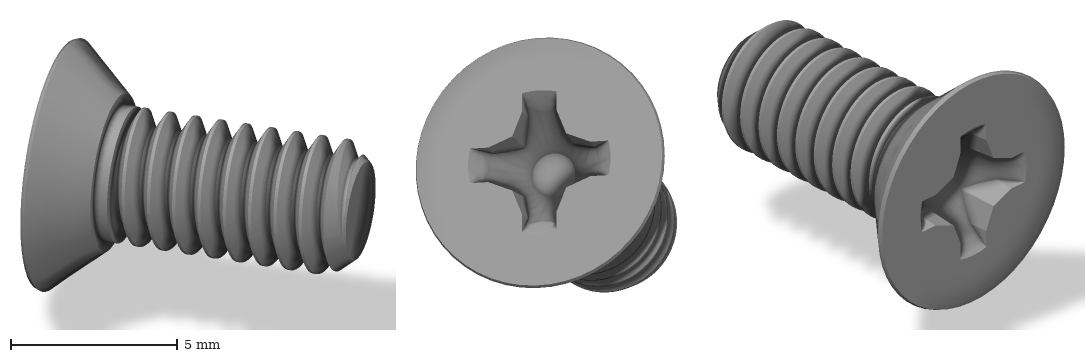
import cadquery as cq
import math


screw_length = 9.525
head_radius = 3.861
face_radius = 3.81
head_rim_length = 0.13
head_length = 1.776
cone_half_angle = math.radians(41.0)
head_small_radius = head_radius - (head_length - head_rim_length) * math.tan(cone_half_angle)

major_radius = 2.083
pitch = 0.796
thread_half_angle = math.radians(30.0)
flat_width = pitch / 8
thread_depth = (pitch / 2 - flat_width) / math.tan(thread_half_angle)
root_radius = major_radius - thread_depth
thread_start = 2.19
groove_overlap = 0.04
groove_runout_turns = 0.5
groove_position = 2.51

tip_radius = 1.51
tip_chamfer_angle = math.radians(41.0)
tip_chamfer_length = (major_radius - tip_radius) / math.tan(tip_chamfer_angle)

recess_depth = head_length
recess_radius = 2.21
recess_floor_radius = recess_radius - recess_depth * math.tan(cone_half_angle)
wing_half_width = 0.532
wing_root = 1.583
throat_corner = 0.836
recess_taper = 4.5


def revolve_about_x(points):
    """Revolve a closed outline of (x, signed radius) points around the X axis."""
    return cq.Workplane("XY").polyline(points).close().revolve(360, (0, 0, 0), (1, 0, 0))


def make_head_and_shank():
    return revolve_about_x([
        (0, 0),
        (0, -face_radius),
        (head_rim_length, -head_radius),
        (head_length, -head_small_radius),
        (head_length, -major_radius),
        (thread_start, -major_radius),
        (thread_start, 0),
    ])


def make_thread_groove():
    """Helical V groove, built around Z and then turned onto the X axis."""
    start = groove_position - pitch
    turns = math.ceil((screw_length - start) / pitch) + groove_runout_turns
    helix = cq.Wire.makeHelix(pitch, turns * pitch, root_radius)
    outer_radius = major_radius + groove_overlap
    inner_half_width = flat_width / 2
    outer_half_width = inner_half_width + (outer_radius - root_radius) * math.tan(thread_half_angle)
    groove = (
        cq.Workplane("XZ")
        .polyline([
            (root_radius, -inner_half_width),
            (outer_radius, -outer_half_width),
            (outer_radius, outer_half_width),
            (root_radius, inner_half_width),
        ])
        .close()
        .sweep(cq.Workplane(helix), isFrenet=True)
    )
    return groove.rotate((0, 0, 0), (0, 1, 0), 90).translate((start, 0, 0))


def make_threaded_rod():
    rod = revolve_about_x([
        (thread_start, 0),
        (thread_start, -major_radius),
        (screw_length - tip_chamfer_length, -major_radius),
        (screw_length, -tip_radius),
        (screw_length, 0),
    ])
    return rod.cut(make_thread_groove())


def make_cross_recess():
    wing_reach = 1.5 * recess_radius
    quadrant = [
        (wing_reach, wing_half_width),
        (wing_root, wing_half_width),
        (throat_corner, throat_corner),
        (wing_half_width, wing_root),
        (wing_half_width, wing_reach),
    ]
    outline = []
    for _ in range(4):
        outline += quadrant
        quadrant = [(-z, y) for y, z in quadrant]
    cross = cq.Workplane("YZ").polyline(outline).close().extrude(recess_depth, taper=recess_taper)
    cone = revolve_about_x([
        (0, 0),
        (0, -recess_radius),
        (recess_depth, -recess_floor_radius),
        (recess_depth, 0),
    ])
    return cross.intersect(cone)


result = make_head_and_shank().union(make_threaded_rod()).cut(make_cross_recess())